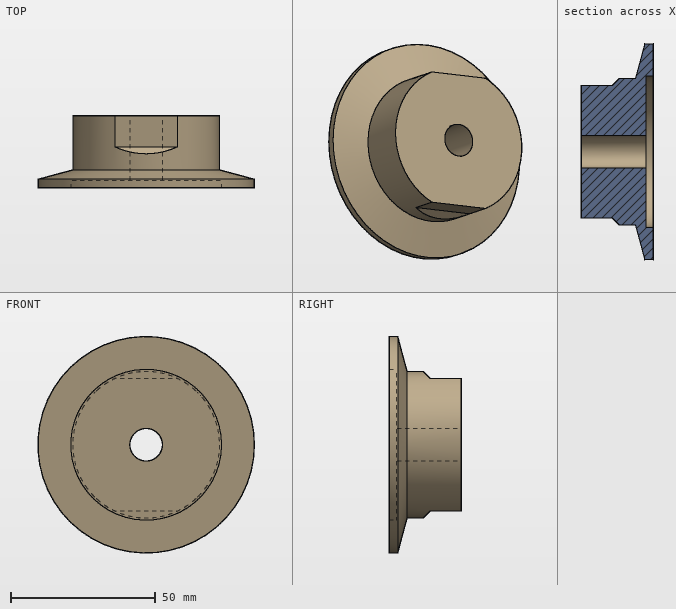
import cadquery as cq
import math

flange_diameter = 75.0
rim_thickness = 3.0
cone_angle = 15.0

hub_diameter = 50.8
total_length = 25.0

recess_diameter = 52.2
recess_depth = 2.5
bore_diameter = 11.2

across_flats = 46.0
flat_length = 10.8
runout_angle = 45.0

flange_radius = flange_diameter / 2
hub_radius = hub_diameter / 2
cone_length = (flange_radius - hub_radius) * math.tan(math.radians(cone_angle))


def make_body():
    """Flange and hub as one profile turned about the Y axis, front face at Y = 0."""
    profile = (
        cq.Workplane("XY")
        .moveTo(0, 0)
        .lineTo(flange_radius, 0)
        .lineTo(flange_radius, rim_thickness)
        .lineTo(hub_radius, rim_thickness + cone_length)
        .lineTo(hub_radius, total_length)
        .lineTo(0, total_length)
        .close()
    )
    return profile.revolve(360, (0, 0, 0), (0, 1, 0))


def make_cylinder(diameter, length):
    """Cylinder on the Y axis from the front face towards +Y."""
    return cq.Workplane("XZ").circle(diameter / 2).extrude(-length)


def make_flat_cutter():
    """Prism that cuts the +Z wrench flat and its sloped run-out."""
    flat_height = across_flats / 2
    rise = hub_radius - flat_height
    flat_end = total_length - flat_length
    runout_end = flat_end - rise / math.tan(math.radians(runout_angle))
    return (
        cq.Workplane("YZ")
        .moveTo(total_length, flat_height)
        .lineTo(flat_end, flat_height)
        .lineTo(runout_end, hub_radius)
        .lineTo(total_length, hub_radius)
        .close()
        .extrude(hub_radius, both=True)
    )


result = make_body()
result = result.cut(make_cylinder(recess_diameter, recess_depth))
result = result.cut(make_cylinder(bore_diameter, total_length))

flat_cutter = make_flat_cutter()
for turn in (0, 180):
    result = result.cut(flat_cutter.rotate((0, 0, 0), (0, 1, 0), turn))